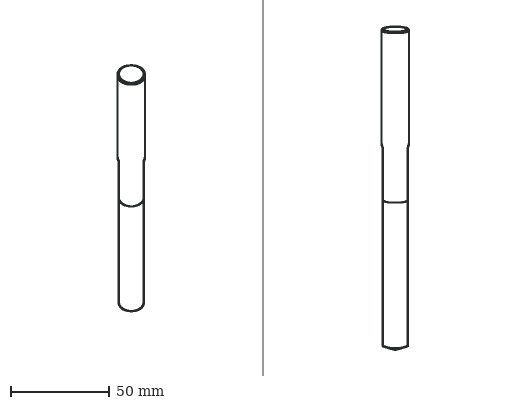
import cadquery as cq
import math

total_length = 167.0
shank_diameter = 14.0
neck_diameter = 12.9
shank_length = 60.0
step_taper_length = 2.0
cutting_length = 78.0
top_chamfer = 0.7
point_angle = 140.0

shank_radius = shank_diameter / 2
neck_radius = neck_diameter / 2
point_height = neck_radius / math.tan(math.radians(point_angle / 2))
joint_z = cutting_length
shank_bottom_z = total_length - shank_length
taper_bottom_z = shank_bottom_z - step_taper_length


def revolve_about_z(profile):
    """Revolve a closed (radius, z) outline a full turn about the Z axis."""
    return cq.Workplane("XZ").polyline(profile).close().revolve(360, (0, 0), (0, 1))


def make_shank():
    """Chamfered grip that tapers to a neck ending at the joint."""
    return revolve_about_z([
        (0, joint_z),
        (neck_radius, joint_z),
        (neck_radius, taper_bottom_z),
        (shank_radius, shank_bottom_z),
        (shank_radius, total_length - top_chamfer),
        (shank_radius - top_chamfer, total_length),
        (0, total_length),
    ])


def make_cutting_section():
    """Plain cylinder with a conical drill point at its lower end."""
    return revolve_about_z([
        (0, 0),
        (neck_radius, point_height),
        (neck_radius, joint_z),
        (0, joint_z),
    ])


shank = make_shank()
cutting_section = make_cutting_section()

result = cq.Compound.makeCompound([shank.val(), cutting_section.val()])